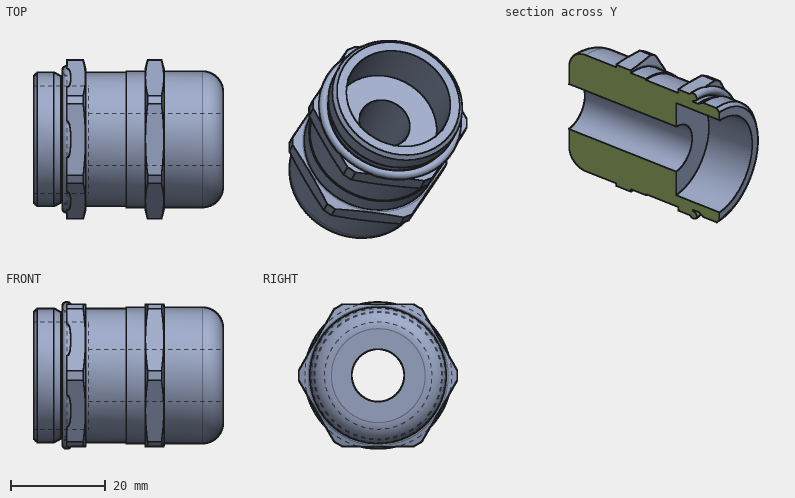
import cadquery as cq
import math

total_length = 40.0

body_diameter = 28.3
groove_diameter = 26.8
lead_in_chamfer = 0.8
thread_end = 4.3
groove_start = 5.7
cap_start = 19.5

cap_diameter = 28.8
dome_radius = 4.5

side_count = 6
half_side_angle = 180 / side_count
across_flats = 30.0
corner_flat_width = 2.0
hex_thickness = 4.0
collar_start = 7.0
nut_start = 23.5
bevel_face_diameter = 29.5
bevel_angle = 15.0

ring_outer_diameter = 31.0
ring_section_diameter = 1.95
ring_position = collar_start

entry_bore_diameter = 22.64
entry_bore_depth = 11.5
cable_hole_diameter = 11.0


def revolve_about_x(profile):
    return profile.close().revolve(360, (0, 0, 0), (1, 0, 0))


def make_barrel():
    """Spigot, groove, body and domed cap as one solid of revolution."""
    body_radius = body_diameter / 2
    groove_radius = groove_diameter / 2
    cap_radius = cap_diameter / 2
    dome_start = total_length - dome_radius
    dome_mid_offset = dome_radius * math.sqrt(0.5)
    dome_mid = (dome_start + dome_mid_offset, cap_radius - dome_radius + dome_mid_offset)
    profile = (
        cq.Workplane("XY")
        .moveTo(0, 0)
        .lineTo(0, body_radius - lead_in_chamfer)
        .lineTo(lead_in_chamfer, body_radius)
        .lineTo(thread_end, body_radius)
        .lineTo(groove_start, groove_radius)
        .lineTo(collar_start, groove_radius)
        .lineTo(collar_start, body_radius)
        .lineTo(cap_start, body_radius)
        .lineTo(cap_start, cap_radius)
        .lineTo(dome_start, cap_radius)
        .threePointArc(dome_mid, (total_length, cap_radius - dome_radius))
        .lineTo(total_length, 0)
    )
    return revolve_about_x(profile)


def make_hexagon(start, bevel_left):
    """Hexagon with flats facing +Z and -Z, blunted corners and conically bevelled faces."""
    end = start + hex_thickness
    across_corners = across_flats / math.cos(math.radians(half_side_angle))
    corner_cut = corner_flat_width / 2 * math.tan(math.radians(half_side_angle))
    across_corner_flats = across_corners - 2 * corner_cut
    base = cq.Workplane("YZ").workplane(offset=start)
    hexagon = base.polygon(side_count, across_corners).extrude(hex_thickness)
    corner_trim = (
        base.transformed(rotate=(0, 0, half_side_angle))
        .polygon(side_count, across_corner_flats / math.cos(math.radians(half_side_angle)))
        .extrude(hex_thickness)
    )

    face_radius = bevel_face_diameter / 2
    outer_radius = across_corners / 2
    bevel_depth = (outer_radius - face_radius) * math.tan(math.radians(bevel_angle))
    envelope = cq.Workplane("XY").moveTo(start, 0)
    if bevel_left:
        envelope = envelope.lineTo(start, face_radius).lineTo(start + bevel_depth, outer_radius)
    else:
        envelope = envelope.lineTo(start, outer_radius)
    envelope = envelope.lineTo(end - bevel_depth, outer_radius).lineTo(end, face_radius).lineTo(end, 0)
    return hexagon.intersect(corner_trim).intersect(revolve_about_x(envelope))


def make_sealing_ring():
    section_radius = ring_section_diameter / 2
    centre_radius = ring_outer_diameter / 2 - section_radius
    section = cq.Workplane("XY").center(ring_position, centre_radius).circle(section_radius)
    return section.revolve(360, (0, -centre_radius, 0), (1, -centre_radius, 0))


def make_bore(diameter, depth):
    return cq.Workplane("YZ").circle(diameter / 2).extrude(depth)


result = (
    make_barrel()
    .union(make_hexagon(collar_start, bevel_left=False))
    .union(make_hexagon(nut_start, bevel_left=True))
    .union(make_sealing_ring())
    .cut(make_bore(entry_bore_diameter, entry_bore_depth))
    .cut(make_bore(cable_hole_diameter, total_length))
)